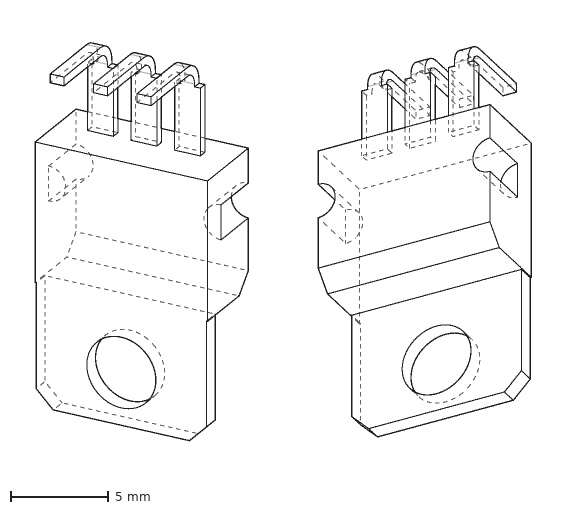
import cadquery as cq


total_height = 20.25

body_width = 10.02
body_depth = 4.5
body_bottom = 7.0
body_height = 7.98
body_top = body_bottom + body_height
body_chamfer = 1.01

notch_radius = 1.0
notch_length = 3.0
notch_center_z = 12.0

tab_side_step = 0.06
tab_width = body_width - 2 * tab_side_step
tab_thickness = 0.97
tab_chamfer = 1.0
hole_diameter = 4.0
hole_center_z = 3.0

lead_count = 3
lead_pitch = 2.53
lead_thickness = 0.5
lead_back_inset = 1.5
lead_overhang = 2.27
wide_lead_width = 1.5
narrow_lead_width = 0.8
wide_lead_top = 18.83
bend_inner_radius = 0.75
bend_outer_radius = bend_inner_radius + lead_thickness

lead_back = body_depth - lead_back_inset
lead_front = lead_back - lead_thickness


def box(width, y_start, y_end, z_start, z_end):
    """Box centred on X between the given Y and Z limits."""
    return (
        cq.Workplane("XY", origin=(0, (y_start + y_end) / 2, z_start))
        .box(width, y_end - y_start, z_end - z_start, centered=(True, True, False))
    )


def make_body():
    body = box(body_width, 0, body_depth, body_bottom, body_top)
    body = body.faces(">Y").edges("<Z").chamfer(body_chamfer)
    notches = (
        cq.Workplane("XZ", origin=(0, body_depth, notch_center_z))
        .pushPoints([(-body_width / 2, 0), (body_width / 2, 0)])
        .circle(notch_radius)
        .extrude(notch_length)
    )
    return body.cut(notches)


def make_tab():
    tab = box(tab_width, 0, tab_thickness, 0, body_bottom)
    tab = tab.faces("<Z").edges("|Y").chamfer(tab_chamfer)
    hole = (
        cq.Workplane("XZ", origin=(0, tab_thickness, hole_center_z))
        .circle(hole_diameter / 2)
        .extrude(tab_thickness)
    )
    return tab.cut(hole)


def make_lead():
    """Wide shank rising from the body, then a narrow end bent forward over the mounting face."""
    shank = box(wide_lead_width, lead_front, lead_back, body_top, wide_lead_top)
    bend_start_z = total_height - bend_outer_radius
    bend_end_y = lead_back - bend_outer_radius
    bent_end = (
        cq.Workplane("YZ")
        .moveTo(lead_front, wide_lead_top)
        .lineTo(lead_back, wide_lead_top)
        .lineTo(lead_back, bend_start_z)
        .radiusArc((bend_end_y, total_height), -bend_outer_radius)
        .lineTo(-lead_overhang, total_height)
        .lineTo(-lead_overhang, total_height - lead_thickness)
        .lineTo(bend_end_y, total_height - lead_thickness)
        .radiusArc((lead_front, bend_start_z), bend_inner_radius)
        .close()
        .extrude(narrow_lead_width / 2, both=True)
    )
    return shank.union(bent_end)


result = make_body().union(make_tab())
lead = make_lead()
for index in range(lead_count):
    lead_x = (index - (lead_count - 1) / 2) * lead_pitch
    result = result.union(lead.translate((lead_x, 0, 0)))